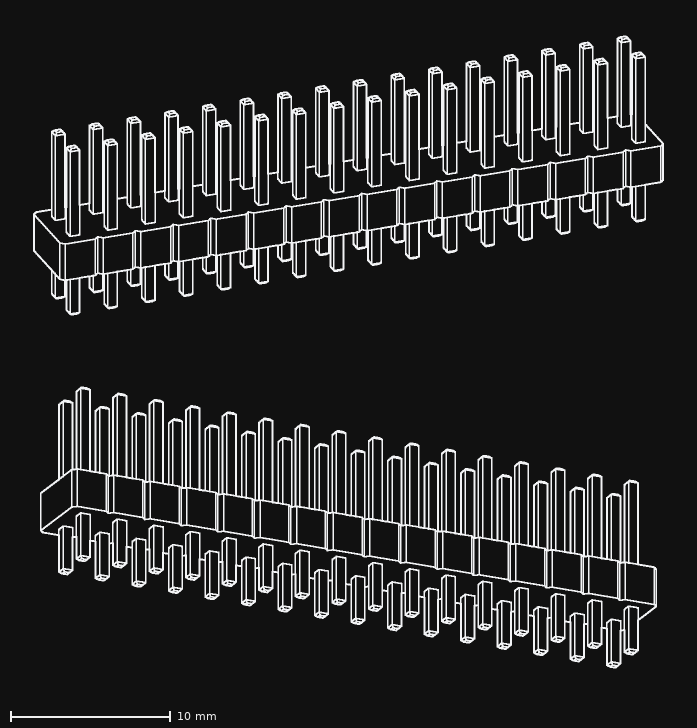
import cadquery as cq

length = 40.65
position_count = 16
row_count = 2
corner_chamfer = 0.265
pin_width = 0.65
pin_tip_chamfer = 0.142
overall_height = 11.55
pin_above = 6.0
pin_below = 3.0

pitch = length / position_count
housing_width = row_count * pitch
housing_height = overall_height - pin_above - pin_below


def centered_position(index, count):
    """Offset of one item in a row of items one pitch apart, centered on zero."""
    return (index - (count - 1) / 2) * pitch


def make_housing():
    """Row of bevelled cells; neighbouring bevels form the V notches along both long sides."""
    cell = (
        cq.Workplane("XY")
        .box(housing_width, pitch, housing_height, centered=(True, True, False))
        .edges("|Z")
        .chamfer(corner_chamfer)
    )
    housing = cq.Workplane("XY")
    for position in range(position_count):
        housing = housing.union(cell.translate((0, centered_position(position, position_count), 0)))
    return housing.clean()


def make_pin():
    """Square pin with bevelled ends, standing through the housing."""
    return (
        cq.Workplane("XY")
        .box(pin_width, pin_width, overall_height, centered=(True, True, False))
        .faces("<Z or >Z")
        .edges()
        .chamfer(pin_tip_chamfer)
        .translate((0, 0, -pin_below))
    )


result = make_housing()
pin = make_pin()
for row in range(row_count):
    for position in range(position_count):
        x = centered_position(row, row_count)
        y = centered_position(position, position_count)
        result = result.union(pin.translate((x, y, 0)))